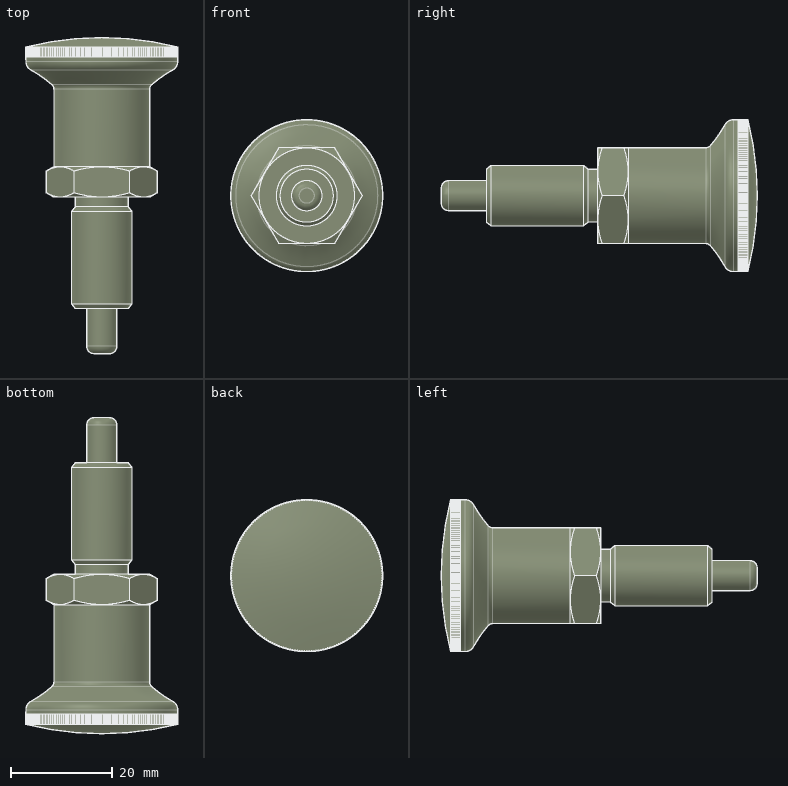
import cadquery as cq
import math


total_length = 62.4
knob_top = 31.5
pin_tip = knob_top - total_length

knob_diameter = 30.0
knob_radius = knob_diameter / 2
dome_height = 1.9
knurl_length = 2.0
band_length = 0.9
rim_round_inset = 1.0
rim_round_length = 1.7
flare_inset = 4.1
flare_length = 2.9

groove_count = 200
groove_depth = 0.2

sleeve_radius = 9.5
pin_radius = 3.0
pin_tip_round = 1.5

hex_across_flats = 19.0
hex_height = 6.05
hex_face_radius = 9.4
hex_chamfer_angle = 30.0

neck_radius = 5.25
neck_length = 1.9
shank_radius = 6.0
shank_end = -22.0
shank_chamfer_length = 0.95


def revolve_about_y(profile):
    """Turn a closed (radius, y) profile drawn in the XY plane about the Y axis."""
    return profile.close().revolve(360, (0, 0, 0), (0, 1, 0))


def make_plunger_blank():
    """Knob, sleeve and pin as one turned piece, its outline running down from the dome."""
    dome_edge = knob_top - dome_height
    dome_radius = (knob_radius**2 + dome_height**2) / (2 * dome_height)
    half_angle = math.asin(knob_radius / dome_radius) / 2
    dome_middle = (
        dome_radius * math.sin(half_angle),
        knob_top - dome_radius * (1 - math.cos(half_angle)),
    )
    round_start = dome_edge - knurl_length - band_length
    flare_start = (knob_radius - rim_round_inset, round_start - rim_round_length)
    flare_end = (flare_start[0] - flare_inset, flare_start[1] - flare_length)

    start_slope = 2 * math.atan2(rim_round_inset, rim_round_length)
    end_slope = 2 * math.atan2(flare_inset, flare_length) - start_slope
    fillet_length = (flare_end[0] - sleeve_radius) / math.tan(end_slope / 2)

    profile = (
        cq.Workplane("XY")
        .moveTo(0, knob_top)
        .threePointArc(dome_middle, (knob_radius, dome_edge))
        .lineTo(knob_radius, dome_edge - knurl_length)
        .lineTo(knob_radius, round_start)
        .tangentArcPoint(flare_start, relative=False)
        .tangentArcPoint(flare_end, relative=False)
        .tangentArcPoint((sleeve_radius, flare_end[1] - fillet_length), relative=False)
        .lineTo(sleeve_radius, hex_height)
        .lineTo(pin_radius, hex_height)
        .lineTo(pin_radius, pin_tip + pin_tip_round)
        .tangentArcPoint((pin_radius - pin_tip_round, pin_tip), relative=False)
        .lineTo(0, pin_tip)
    )
    return revolve_about_y(profile)


def knurl_outline():
    """Corner points of the toothed rim: each groove has two crest edges and one root."""
    root_radius = knob_radius - groove_depth
    groove_half_angle = groove_depth / knob_radius
    points = []
    for i in range(groove_count):
        middle = 2 * math.pi * i / groove_count
        for radius, angle in (
            (knob_radius, middle - groove_half_angle),
            (root_radius, middle),
            (knob_radius, middle + groove_half_angle),
        ):
            points.append((radius * math.sin(angle), radius * math.cos(angle)))
    return points


def cut_knurl(blank):
    """Cut the grooves into the rim between the dome and the plain band."""
    margin = 0.6
    cutter = (
        cq.Workplane("XZ", origin=(0, knob_top - dome_height, 0))
        .circle(knob_radius + margin)
        .polyline(knurl_outline())
        .close()
        .extrude(knurl_length)
    )
    return blank.cut(cutter)


def make_plunger():
    return cut_knurl(make_plunger_blank())


def make_hexagon():
    """Hexagon with corners along X, both ends chamfered by cones."""
    corner_radius = hex_across_flats / math.sqrt(3)
    chamfer_length = (corner_radius - hex_face_radius) * math.tan(math.radians(hex_chamfer_angle))
    prism = (
        cq.Workplane("XZ", origin=(0, hex_height, 0))
        .polygon(6, 2 * corner_radius)
        .extrude(hex_height)
    )
    chamfered_round = revolve_about_y(
        cq.Workplane("XY")
        .moveTo(0, 0)
        .lineTo(hex_face_radius, 0)
        .lineTo(corner_radius, chamfer_length)
        .lineTo(corner_radius, hex_height - chamfer_length)
        .lineTo(hex_face_radius, hex_height)
        .lineTo(0, hex_height)
    )
    return prism.intersect(chamfered_round)


def make_shank():
    """Neck below the hexagon and the threaded shank, chamfered at both ends."""
    return revolve_about_y(
        cq.Workplane("XY")
        .moveTo(0, 0)
        .lineTo(neck_radius, 0)
        .lineTo(neck_radius, -neck_length)
        .lineTo(shank_radius, -neck_length - shank_chamfer_length)
        .lineTo(shank_radius, shank_end + shank_chamfer_length)
        .lineTo(neck_radius, shank_end)
        .lineTo(0, shank_end)
    )


def make_housing():
    """Hexagon and shank, with a bore for the pin through both."""
    bore = (
        cq.Workplane("XZ", origin=(0, hex_height, 0))
        .circle(pin_radius)
        .extrude(hex_height - shank_end)
    )
    return make_hexagon().union(make_shank()).cut(bore)


plunger = make_plunger()
housing = make_housing()

result = cq.Compound.makeCompound([plunger.solids().val(), housing.solids().val()])